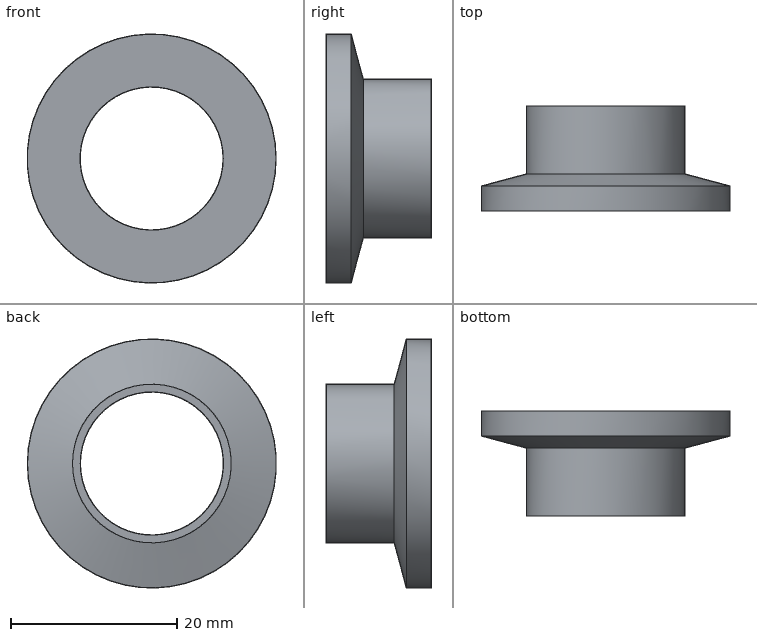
import cadquery as cq
import math

flange_diameter = 30.0
sleeve_diameter = 19.1
bore_diameter = 17.2
total_length = 12.7
rim_thickness = 3.03
cone_angle = 15.0

flange_radius = flange_diameter / 2
sleeve_radius = sleeve_diameter / 2
bore_radius = bore_diameter / 2
cone_height = (flange_radius - sleeve_radius) * math.tan(math.radians(cone_angle))
front_y = -total_length / 2
rim_back_y = front_y + rim_thickness
cone_back_y = rim_back_y + cone_height
sleeve_end_y = front_y + total_length

profile = (
    cq.Workplane("XY")
    .moveTo(bore_radius, front_y)
    .lineTo(flange_radius, front_y)
    .lineTo(flange_radius, rim_back_y)
    .lineTo(sleeve_radius, cone_back_y)
    .lineTo(sleeve_radius, sleeve_end_y)
    .lineTo(bore_radius, sleeve_end_y)
    .close()
)

result = profile.revolve(360, (0, 0, 0), (0, 1, 0))